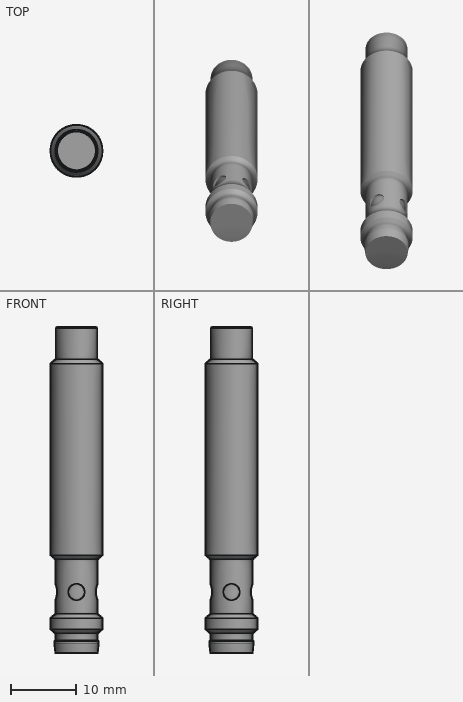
import cadquery as cq

total_length = 50.0
body_radius = 4.0
neck_radius = 3.25
bevel_height = 0.65

cap_length = 5.0
cap_radius = 3.2
cap_edge_chamfer = 0.25

housing_top = total_length - cap_length
barrel_bottom = 14.35
flange_bottom = 3.0
flange_top = 6.0

bead_radius = 3.4
bead_widest_height = 1.5
bead_shoulder_height = 1.8
bead_top = bead_shoulder_height + bead_radius - neck_radius
bead_bulge_height = bead_widest_height / 2
bead_bulge_radius = 3.35

window_radius = 1.25
window_height = 9.35
window_count = 4
core_radius = 2.95
core_bottom = window_height - 2 * window_radius


def upright_cylinder(radius, bottom, top):
    """Cylinder on the Z axis between two heights."""
    return cq.Workplane("XY").workplane(offset=bottom).circle(radius).extrude(top - bottom)


def make_housing():
    """Turned sleeve with a bevelled barrel, flange and snap bead, bored for the core."""
    turned = (
        cq.Workplane("XZ")
        .moveTo(0, 0)
        .lineTo(neck_radius, 0)
        .threePointArc((bead_bulge_radius, bead_bulge_height), (bead_radius, bead_widest_height))
        .lineTo(bead_radius, bead_shoulder_height)
        .lineTo(neck_radius, bead_top)
        .lineTo(neck_radius, flange_bottom)
        .lineTo(body_radius, flange_bottom + bevel_height)
        .lineTo(body_radius, flange_top - bevel_height)
        .lineTo(neck_radius, flange_top)
        .lineTo(neck_radius, barrel_bottom)
        .lineTo(body_radius, barrel_bottom + bevel_height)
        .lineTo(body_radius, housing_top - bevel_height)
        .lineTo(neck_radius, housing_top)
        .lineTo(0, housing_top)
        .close()
        .revolve(360, (0, 0, 0), (0, 1, 0))
    )
    housing = turned.cut(upright_cylinder(core_radius, core_bottom, housing_top))
    for index in range(window_count):
        window = (
            cq.Workplane("YZ")
            .center(0, window_height)
            .circle(window_radius)
            .extrude(body_radius)
            .rotate((0, 0, 0), (0, 0, 1), index * 360 / window_count)
        )
        housing = housing.cut(window)
    return housing


def make_core():
    """Plain core that fills the housing bore and backs the windows."""
    return upright_cylinder(core_radius, core_bottom, housing_top)


def make_sensing_cap():
    """Cap resting on the housing and core, with a chamfered outer edge."""
    cap = upright_cylinder(cap_radius, housing_top, total_length)
    return cap.faces(">Z").edges().chamfer(cap_edge_chamfer)


housing = make_housing()
core = make_core()
sensing_cap = make_sensing_cap()

result = cq.Compound.makeCompound([housing.val(), core.val(), sensing_cap.val()])